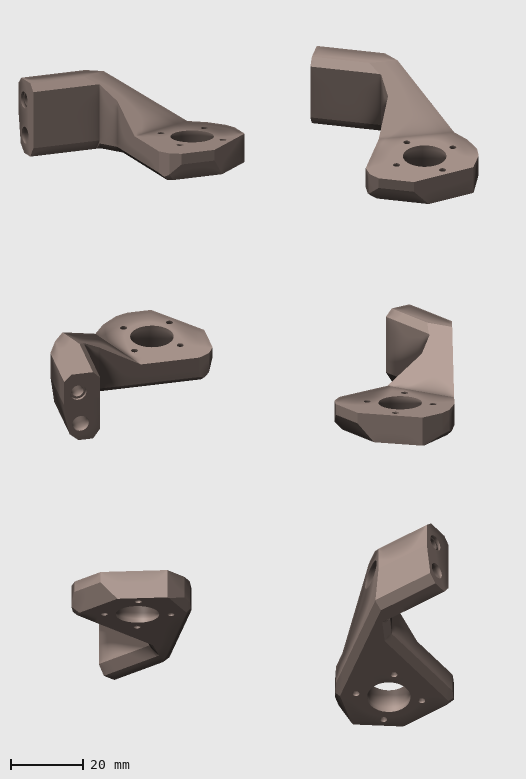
import cadquery as cq
import math

length_x = 48.7
length_y = 52.0
height = 21.05
plate_height = 8.15
bevel = 2.05

arm_width = 10.25
arm_inner_length = 20.0
arm_outer_length = 16.5
arm_ridge_x = arm_width - bevel
arm_lower_bevel_height = 2.9
arm_slant_height = 11.55
arm_foot_left = (1.6, 2.15)
arm_foot_right_x = 4.05

gusset_end_x = 15.35
flange_front_y = 23.1
flange_front_end_x = 43.9
corner_mid = (47.0, 24.9)
flange_side_start_y = 27.8
flange_side_end_y = 37.75
flange_back_right_x = 36.95
flange_back_left_x = 30.15
back_facet_start = (26.8, 50.8)
diagonal_end = (22.25, 47.15)
side_undercut_width = 2.95
side_undercut_height = 5.1

slope_foot_front = (27.25, flange_front_y)
slope_foot_back = (18.95, 42.65)
slope_top_point = (arm_ridge_x, 16.2)

bore_center = (33.8, 37.55)
bore_diameter = 12.0
screw_pitch = 13.0
screw_diameter = 1.9
rod_x, rod_z = 4.0, 15.2
rod_diameter = 3.4
rod_entry_diameter = 4.7
rod_entry_depth = 0.85
rod_pocket_diameter = 6.0
rod_pocket_floor_y = 17.75
blind_x, blind_z = 4.7, 5.25
blind_diameter = 4.7
blind_depth = 10.4

outline = [
    (0, 0),
    (arm_width, 0),
    (arm_width, arm_inner_length),
    (gusset_end_x, flange_front_y),
    (flange_front_end_x, flange_front_y),
    corner_mid,
    (length_x, flange_side_start_y),
    (length_x, flange_side_end_y),
    (flange_back_right_x, length_y),
    (flange_back_left_x, length_y),
    back_facet_start,
    diagonal_end,
    (0, arm_outer_length),
]


def line_crossing(p, q, r, s):
    """Point where the line through p and q meets the line through r and s."""
    ux, uy = q[0] - p[0], q[1] - p[1]
    vx, vy = s[0] - r[0], s[1] - r[1]
    t = ((r[0] - p[0]) * vy - (r[1] - p[1]) * vx) / (ux * vy - uy * vx)
    return (p[0] + t * ux, p[1] + t * uy)


def inset_outline(points, insets):
    """Move each side of a counterclockwise outline inward by its own inset."""
    sides = []
    for i, inset in enumerate(insets):
        p, q = points[i], points[(i + 1) % len(points)]
        run = math.dist(p, q)
        dx = -(q[1] - p[1]) / run * inset
        dy = (q[0] - p[0]) / run * inset
        sides.append(((p[0] + dx, p[1] + dy), (q[0] + dx, q[1] + dy)))
    return [line_crossing(*sides[i - 1], *sides[i]) for i in range(len(sides))]


def bevelled_body():
    """Full-height outline with a bevelled foot; two corner facets stay unbevelled."""
    front_corner = line_crossing(*outline[3:5], *outline[5:7])
    back_corner = line_crossing(*outline[9:11], *outline[11:13])
    foot_top = outline[:4] + [front_corner] + outline[6:10] + [back_corner, outline[12]]
    insets = [0, bevel, bevel, bevel, bevel, 0, 0, 0, bevel, bevel, 0]
    foot_bottom = inset_outline(foot_top, insets)
    foot = (
        cq.Workplane("XY").polyline(foot_bottom).close()
        .workplane(offset=bevel).polyline(foot_top).close()
        .loft(ruled=True, combine=True)
    )
    upper = cq.Workplane("XY", origin=(0, 0, bevel)).polyline(foot_top).close().extrude(height - bevel)
    prism = cq.Workplane("XY").polyline(outline).close().extrude(height)
    return foot.union(upper).intersect(prism)


def slope_cutter():
    """Material above the flange and above the slope rising to the arm."""
    along = (slope_foot_back[0] - slope_foot_front[0], slope_foot_back[1] - slope_foot_front[1])
    crease_length = math.hypot(*along)
    across = (-along[1] / crease_length, along[0] / crease_length)
    run = sum((slope_top_point[i] - slope_foot_front[i]) * across[i] for i in range(2))
    rise = height - plate_height
    plane = cq.Plane(
        origin=(*slope_foot_front, plate_height),
        xDir=(*across, 0),
        normal=(across[1], -across[0], 0),
    )
    profile = [(-length_y, 0), (0, 0), (run, rise), (-length_y, rise)]
    return cq.Workplane(plane).polyline(profile).close().extrude(length_y, both=True)


def along_y(points, y_length):
    """Prism with an XZ profile, starting at y = 0 and running toward +Y."""
    return cq.Workplane("XZ").polyline(points).close().extrude(-y_length)


def arm_cutters():
    """Bevels along the arm and its slanted outer side."""
    upper_left = [(0, height - bevel), (bevel, height), (0, height)]
    upper_right = [(arm_ridge_x, height), (arm_width, height - bevel), (arm_width, height)]
    lower_left = [(0, arm_slant_height), arm_foot_left, (arm_foot_right_x, 0), (0, 0)]
    lower_right = [(arm_ridge_x, 0), (arm_width, arm_lower_bevel_height), (arm_width, 0)]
    return [
        along_y(upper_left, length_y),
        along_y(upper_right, arm_inner_length),
        along_y(lower_left, length_y),
        along_y(lower_right, arm_inner_length),
    ]


def side_undercut():
    """Steep bevel below the right side of the flange."""
    profile = [(length_x - side_undercut_width, 0), (length_x, side_undercut_height), (length_x, 0)]
    return along_y(profile, length_y)


def y_hole(x, z, diameter, start, depth):
    """Round cutter running toward +Y from y = start."""
    center = cq.Vector(x, start, z)
    return cq.Workplane(cq.Solid.makeCylinder(diameter / 2, depth, center, cq.Vector(0, 1, 0)))


def flange_holes():
    """Central bore and four screw holes through the flange."""
    plane = cq.Workplane("XY", origin=(*bore_center, 0))
    bore = plane.circle(bore_diameter / 2).extrude(height)
    screws = plane.rarray(screw_pitch, screw_pitch, 2, 2).circle(screw_diameter / 2).extrude(height)
    return bore.union(screws)


cutters = [slope_cutter(), *arm_cutters(), side_undercut(), flange_holes()]
cutters += [
    y_hole(rod_x, rod_z, rod_diameter, 0, length_y),
    y_hole(rod_x, rod_z, rod_entry_diameter, 0, rod_entry_depth),
    y_hole(rod_x, rod_z, rod_pocket_diameter, rod_pocket_floor_y, length_y - rod_pocket_floor_y),
    y_hole(blind_x, blind_z, blind_diameter, 0, blind_depth),
]

result = bevelled_body()
for cutter in cutters:
    result = result.cut(cutter)